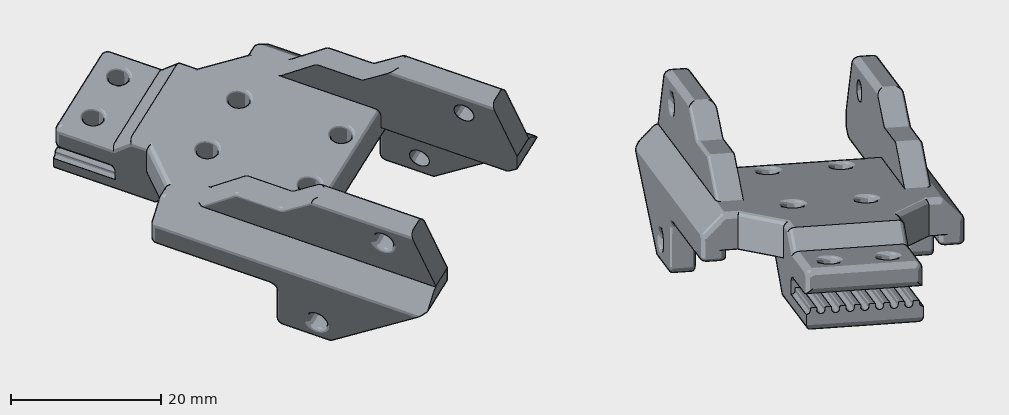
import cadquery as cq
import math

LENGTH = 59.2
HALF_WIDTH = 18.0
DECK_TOP = 14.0
DECK_THICKNESS = 5.0
DECK_BOTTOM = DECK_TOP - DECK_THICKNESS
DECK_END = 39.2
EDGE_RADIUS = 1.0
SMALL_RADIUS = 0.5

CLAMP_HALF_WIDTH = 8.0
CLAMP_BOTTOM = 3.0
UPPER_JAW_TOP = 11.45
UPPER_JAW_BOTTOM = 8.0
UPPER_SLOPE_END = 11.1
LOWER_SLOPE_START = 14.9
SLOT_DEPTH = 9.05

BELT_PITCH = 2.0
GROOVE_RADIUS = 0.55
GROOVE_BOTTOM = 5.35
TOOTH_TOP = 6.25
TOOTH_ROUNDING = 0.15

RAIL_START = 18.75
RAIL_BEVEL = 2.93
RAIL_UNDERSIDE = 10.0
SHOULDER_START = 13.7
RAIL_FRONT_INNER = CLAMP_HALF_WIDTH + RAIL_START - SHOULDER_START
WALL_THICKNESS = 3.5
WALL_BOTTOM = 7.45
LEG_START = 37.3
LEG_END = 44.95
TAIL_BOTTOM = 11.75

EAR_INNER = 11.0
EAR_START = 24.43
EAR_FOOT_LENGTH = 2.0
EAR_STEP_START = 29.75
EAR_STEP_END = 36.5
EAR_STEP_TOP = 18.75
EAR_CREST_START = 41.3
EAR_CREST_END = 55.45
EAR_TOP = 22.72
EAR_END_HEIGHT = 14.2
EAR_ROOT = DECK_TOP - EDGE_RADIUS
EAR_OUTER = HALF_WIDTH - RAIL_BEVEL - EDGE_RADIUS * math.tan(math.radians(22.5))

SCREW_DIAMETER = 2.9
JAW_HOLE_DIAMETER = 2.8
JAW_HOLE_X = 4.0
JAW_HOLE_Y = 4.0
DECK_HOLE_X = (21.2, 36.2)
DECK_HOLE_Y = 5.0
EAR_HOLE = (51.4, 19.2)
LEG_HOLE = (43.25, 3.0)

SIDES = (1, -1)
FULL_WIDTH = (-HALF_WIDTH, HALF_WIDTH)
TOLERANCE = 0.01


def span(first, second):
    """Range between two values given in either order."""
    return (min(first, second), max(first, second))


def box_edges(body, x, y, z):
    """Edges of the body lying wholly inside the given x, y and z ranges."""
    found = []
    for edge in body.edges().vals():
        bounds = edge.BoundingBox()
        spans = ((bounds.xmin, bounds.xmax, x), (bounds.ymin, bounds.ymax, y), (bounds.zmin, bounds.zmax, z))
        if all(low >= r[0] - TOLERANCE and high <= r[1] + TOLERANCE for low, high, r in spans):
            found.append(edge)
    return found


def round_edges(body, edge_groups, radius):
    """Fillet several groups of edges together so that they meet in proper corners."""
    edges = [edge for group in edge_groups for edge in group]
    return body.newObject(edges).fillet(radius)


def side_plate(points, y_low, y_high):
    """Extrude an outline in X and Z from y_low to y_high."""
    plane = cq.Workplane("XZ", origin=(0, y_low, 0))
    return plane.polyline(points).close().extrude(y_low - y_high)


def make_clamp():
    slope_rise = DECK_TOP - UPPER_JAW_TOP
    slope_root = DECK_BOTTOM + DECK_THICKNESS / 2
    lower_slope_end = LOWER_SLOPE_START + slope_root - CLAMP_BOTTOM
    outline = [
        (0, CLAMP_BOTTOM),
        (LOWER_SLOPE_START, CLAMP_BOTTOM),
        (lower_slope_end, slope_root),
        (lower_slope_end, DECK_TOP),
        (UPPER_SLOPE_END, DECK_TOP),
        (UPPER_SLOPE_END - slope_rise, UPPER_JAW_TOP),
        (0, UPPER_JAW_TOP),
    ]
    body = side_plate(outline, -CLAMP_HALF_WIDTH, CLAMP_HALF_WIDTH)
    bottom_edges = [box_edges(body, (0, 0), FULL_WIDTH, (CLAMP_BOTTOM, CLAMP_BOTTOM))]
    for side in SIDES:
        flank = (side * CLAMP_HALF_WIDTH, side * CLAMP_HALF_WIDTH)
        bottom_edges.append(box_edges(body, (0, LOWER_SLOPE_START), flank, (CLAMP_BOTTOM, CLAMP_BOTTOM)))
        bottom_edges.append(
            box_edges(body, (LOWER_SLOPE_START, lower_slope_end), flank, (CLAMP_BOTTOM, slope_root))
        )
    body = round_edges(body, bottom_edges, EDGE_RADIUS)
    return body.cut(make_slot())


def make_slot():
    """Belt slot between the jaws, open at the front and on both sides."""
    corners = [
        (0, TOOTH_TOP),
        (SLOT_DEPTH, TOOTH_TOP),
        (SLOT_DEPTH, UPPER_JAW_BOTTOM),
        (0, UPPER_JAW_BOTTOM),
    ]
    slot = side_plate(corners, -CLAMP_HALF_WIDTH, CLAMP_HALF_WIDTH)
    return slot.edges(">X and >Z").fillet(EDGE_RADIUS)


def make_deck():
    half_outline = [
        (UPPER_SLOPE_END, CLAMP_HALF_WIDTH),
        (SHOULDER_START, CLAMP_HALF_WIDTH),
        (RAIL_START, RAIL_FRONT_INNER),
        (RAIL_START, HALF_WIDTH - WALL_THICKNESS),
        (DECK_END, HALF_WIDTH - WALL_THICKNESS),
    ]
    mirrored = [(x, -y) for x, y in reversed(half_outline)]
    plane = cq.Workplane("XY", origin=(0, 0, DECK_BOTTOM))
    return plane.polyline(half_outline + mirrored).close().extrude(DECK_THICKNESS)


def make_rail():
    """Rail on the +Y side: a beam under the ear with a wall and a leg hanging from it."""
    wall_inner = HALF_WIDTH - WALL_THICKNESS
    section = [
        (EAR_INNER, RAIL_UNDERSIDE),
        (wall_inner, RAIL_UNDERSIDE),
        (wall_inner, 0),
        (HALF_WIDTH, 0),
        (HALF_WIDTH, DECK_TOP - RAIL_BEVEL),
        (HALF_WIDTH - RAIL_BEVEL, DECK_TOP),
        (EAR_INNER, DECK_TOP),
    ]
    plane = cq.Workplane("YZ", origin=(RAIL_START, 0, 0))
    beam = plane.polyline(section).close().extrude(LENGTH - RAIL_START)
    outline = [
        (RAIL_START, WALL_BOTTOM),
        (LEG_START, WALL_BOTTOM),
        (LEG_START, 0),
        (LEG_END, 0),
        (LENGTH, TAIL_BOTTOM),
        (LENGTH, DECK_TOP),
        (RAIL_START, DECK_TOP),
    ]
    side = side_plate(outline, EAR_INNER, HALF_WIDTH)
    bends = box_edges(side, (LEG_START, LEG_START), (EAR_INNER, HALF_WIDTH), (0, 0))
    bends += box_edges(side, (LEG_START, LEG_START), (EAR_INNER, HALF_WIDTH), (WALL_BOTTOM, WALL_BOTTOM))
    side = round_edges(side, [bends], EDGE_RADIUS)
    return beam.intersect(side)


def round_deck_rim(body):
    """Round the upper jaw, the deck rim, the front ends of the rails and their outer shoulders."""
    at_front = (RAIL_START, RAIL_START)
    along_rail = (RAIL_START, LENGTH)
    at_top = (DECK_TOP, DECK_TOP)
    shoulder_z = DECK_TOP - RAIL_BEVEL
    jaw_front = box_edges(body, (0, 0), FULL_WIDTH, (UPPER_JAW_BOTTOM, UPPER_JAW_TOP))
    deck_back = box_edges(body, (DECK_END, DECK_END), FULL_WIDTH, at_top)
    groups = [jaw_front, deck_back]
    for side in SIDES:
        neck_y = side * CLAMP_HALF_WIDTH
        rail_y = side * RAIL_FRONT_INNER
        bevel_y = side * (HALF_WIDTH - RAIL_BEVEL)
        wall_y = side * (HALF_WIDTH - WALL_THICKNESS)
        outer_y = side * HALF_WIDTH
        groups += [
            box_edges(body, (0, SHOULDER_START), span(neck_y, neck_y), (UPPER_JAW_TOP, DECK_TOP)),
            box_edges(body, (SHOULDER_START, RAIL_START), span(neck_y, rail_y), at_top),
            box_edges(body, at_front, span(rail_y, outer_y), (shoulder_z, DECK_TOP)),
            box_edges(body, at_front, span(outer_y, outer_y), (WALL_BOTTOM, shoulder_z)),
            box_edges(body, at_front, span(wall_y, wall_y), (WALL_BOTTOM, DECK_BOTTOM)),
            box_edges(body, along_rail, span(outer_y, outer_y), (shoulder_z, shoulder_z)),
            box_edges(body, along_rail, span(bevel_y, bevel_y), at_top),
        ]
    return round_edges(body, groups, EDGE_RADIUS)


def round_wall_bottoms(body):
    """Round the lower rim of each wall and the front and bottom edges of each leg."""
    groups = []
    for side in SIDES:
        wall_y = side * (HALF_WIDTH - WALL_THICKNESS)
        outer_y = side * HALF_WIDTH
        for face_y in (wall_y, outer_y):
            groups.append(box_edges(body, (RAIL_START, LEG_END), span(face_y, face_y), (0, WALL_BOTTOM)))
        front_end = (RAIL_START, RAIL_START + EDGE_RADIUS)
        groups.append(box_edges(body, front_end, span(wall_y, outer_y), (WALL_BOTTOM, WALL_BOTTOM)))
    return round_edges(body, groups, SMALL_RADIUS)


def round_rail_undersides(body):
    """Round the lower inner edge of each rail behind the deck."""
    groups = []
    for side in SIDES:
        inner_y = side * EAR_INNER
        inner_face = span(inner_y, inner_y)
        groups.append(box_edges(body, (DECK_END, LENGTH), inner_face, (RAIL_UNDERSIDE, RAIL_UNDERSIDE)))
    return round_edges(body, groups, EDGE_RADIUS)


def make_ear():
    """Ear on the +Y side; its foot runs under the deck surface so the front slope can blend into it."""
    outline = [
        (EAR_START - EAR_FOOT_LENGTH, EAR_ROOT),
        (LENGTH, EAR_ROOT),
        (LENGTH, EAR_END_HEIGHT),
        (EAR_CREST_END, EAR_TOP),
        (EAR_CREST_START, EAR_TOP),
        (EAR_STEP_END, EAR_STEP_TOP),
        (EAR_STEP_START, EAR_STEP_TOP),
        (EAR_START, DECK_TOP),
        (EAR_START - EAR_FOOT_LENGTH, DECK_TOP),
    ]
    width = (EAR_INNER, EAR_OUTER)
    ear = side_plate(outline, EAR_INNER, EAR_OUTER)
    foot_bend = box_edges(ear, (EAR_START, EAR_START), width, (DECK_TOP, DECK_TOP))
    ear = round_edges(ear, [foot_bend], SMALL_RADIUS)
    upper_bends = []
    for x, z in (
        (EAR_STEP_START, EAR_STEP_TOP),
        (EAR_STEP_END, EAR_STEP_TOP),
        (EAR_CREST_START, EAR_TOP),
    ):
        upper_bends.append(box_edges(ear, (x, x), width, (z, z)))
    ear = round_edges(ear, upper_bends, EDGE_RADIUS)
    outer_face = (EAR_OUTER, EAR_OUTER)
    outer_rim = box_edges(ear, (EAR_START - EAR_FOOT_LENGTH, EAR_CREST_END), outer_face, (DECK_TOP, EAR_TOP))
    ear = round_edges(ear, [outer_rim], SMALL_RADIUS)
    return ear.intersect(make_crest_envelope())


def make_crest_envelope():
    """Bar with a round-shouldered top that shapes the crest of the ear."""
    plane = cq.Workplane("XY", origin=(EAR_START - EAR_FOOT_LENGTH, EAR_INNER, EAR_ROOT))
    length = LENGTH - EAR_START + EAR_FOOT_LENGTH
    bar = plane.box(length, EAR_OUTER - EAR_INNER, EAR_TOP - EAR_ROOT, centered=False)
    return bar.edges("|X and >Z").fillet(EDGE_RADIUS)


def round_mouth_tool(diameter, depth):
    """Drill along -Z from the origin whose mouth flares out with a rounded lip."""
    radius = diameter / 2
    lip = SMALL_RADIUS
    diagonal = lip * (1 - math.sqrt(0.5))
    profile = cq.Workplane("XZ").lineTo(radius + lip, 0)
    profile = profile.threePointArc((radius + diagonal, -diagonal), (radius, -lip))
    profile = profile.lineTo(radius, -depth).lineTo(0, -depth).close()
    return profile.revolve(360, (0, 0, 0), (0, 1, 0))


def cut_vertical_holes(body):
    deck_drill = round_mouth_tool(SCREW_DIAMETER, DECK_TOP - CLAMP_BOTTOM)
    jaw_drill = round_mouth_tool(JAW_HOLE_DIAMETER, UPPER_JAW_TOP - UPPER_JAW_BOTTOM)
    for side in SIDES:
        body = body.cut(jaw_drill.translate((JAW_HOLE_X, side * JAW_HOLE_Y, UPPER_JAW_TOP)))
        for x in DECK_HOLE_X:
            body = body.cut(deck_drill.translate((x, side * DECK_HOLE_Y, DECK_TOP)))
    return body


def cut_side_holes(body):
    """Pivot holes across the ears and legs, rounded on their outer faces."""
    ear_drill = round_mouth_tool(SCREW_DIAMETER, EAR_OUTER - EAR_INNER)
    leg_drill = round_mouth_tool(SCREW_DIAMETER, WALL_THICKNESS)
    for drill, (x, z), face_y in ((ear_drill, EAR_HOLE, EAR_OUTER), (leg_drill, LEG_HOLE, HALF_WIDTH)):
        placed = drill.rotate((0, 0, 0), (1, 0, 0), -90).translate((x, face_y, z))
        body = body.cut(placed).cut(placed.mirror("XZ"))
    return body


def cut_belt_grooves(body):
    """Round-bottomed grooves along X that leave teeth with rounded tops in the lower jaw."""
    groove_center = GROOVE_BOTTOM + GROOVE_RADIUS
    lip_start = TOOTH_TOP - TOOTH_ROUNDING
    lip_edge = GROOVE_RADIUS + TOOTH_ROUNDING
    lip_middle = lip_edge - TOOTH_ROUNDING * math.sqrt(0.5)
    lip_height = lip_start + TOOTH_ROUNDING * math.sqrt(0.5)
    profile = cq.Workplane("YZ").moveTo(-lip_edge, TOOTH_TOP)
    profile = profile.threePointArc((-lip_middle, lip_height), (-GROOVE_RADIUS, lip_start))
    profile = profile.lineTo(-GROOVE_RADIUS, groove_center)
    profile = profile.threePointArc((0, GROOVE_BOTTOM), (GROOVE_RADIUS, groove_center))
    profile = profile.lineTo(GROOVE_RADIUS, lip_start)
    profile = profile.threePointArc((lip_middle, lip_height), (lip_edge, TOOTH_TOP))
    groove = profile.close().extrude(SLOT_DEPTH)
    last = round(CLAMP_HALF_WIDTH / BELT_PITCH)
    for index in range(-last, last + 1):
        body = body.cut(groove.translate((0, index * BELT_PITCH, 0)))
    return body


result = make_clamp().union(make_deck())
rail = make_rail()
result = result.union(rail).union(rail.mirror("XZ")).clean()
result = round_deck_rim(result)
result = round_wall_bottoms(result)
result = round_rail_undersides(result)
ear = make_ear()
result = result.union(ear).union(ear.mirror("XZ"))
result = cut_vertical_holes(result)
result = cut_side_holes(result)
result = cut_belt_grooves(result)